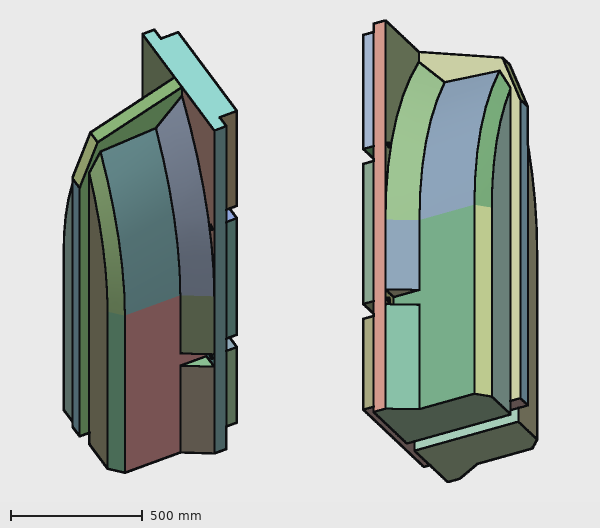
import cadquery as cq
import math

height = 1719.0
plate_half_width = 294.8
rib_half_width = 240.0
rib_depth = 74.0
plate_depth = 125.0
flare_depth = 237.0
bevel_depth = 475.0
body_depth = 522.0
fin_depth = 564.0

waist_half_width = 230.0
front_half_width = 180.0
fin_width = 60.0
foot_height = 60.0
fin_shoulder_depth = 486.0
fin_shoulder_z = 1590.0
fin_nose_z = 1382.0

arch_start_z = 835.0
body_sections = [
    (plate_depth, plate_half_width, 1674.0),
    (flare_depth, waist_half_width, 1552.0),
    (bevel_depth, waist_half_width, 1535.0),
    (body_depth, front_half_width, 1444.0),
]

groove_height = 65.0
lower_groove_z = 495.0
upper_groove_z = 1180.0
hole_diameter = 20.0
hole_x = 268.0


def block(width, back_depth, front_depth, bottom, top):
    """Box centred on X between two depths and two heights."""
    return cq.Workplane("XY").box(
        width, front_depth - back_depth, top - bottom, centered=(True, False, False)
    ).translate((0, -front_depth, bottom))


def arch_wire(depth, half_width, arch_top):
    """Upright outline with side arcs tangent to its straight flanks."""
    half_fin = fin_width / 2
    rise = arch_top - arch_start_z
    inset = half_width - half_fin
    radius = (rise**2 + inset**2) / (2 * inset)
    half_angle = math.asin(rise / radius) / 2
    middle_x = half_width - radius * (1 - math.cos(half_angle))
    middle_z = arch_start_z + radius * math.sin(half_angle)
    outline = (
        cq.Workplane("XZ", origin=(0, -depth, 0))
        .moveTo(-half_width, 0)
        .lineTo(half_width, 0)
        .lineTo(half_width, arch_start_z)
        .threePointArc((middle_x, middle_z), (half_fin, arch_top))
        .lineTo(-half_fin, arch_top)
        .threePointArc((-middle_x, middle_z), (-half_width, arch_start_z))
        .close()
    )
    return outline.val()


def make_body():
    """Arched body with flat-ruled bands between neighbouring outlines."""
    wires = [arch_wire(*section) for section in body_sections]
    return cq.Workplane(cq.Solid.makeLoft(wires, True))


def make_fin():
    """Central fin with a two-slope nose."""
    return (
        cq.Workplane("YZ")
        .moveTo(-plate_depth, foot_height)
        .lineTo(-plate_depth, height)
        .lineTo(-fin_shoulder_depth, fin_shoulder_z)
        .lineTo(-fin_depth, fin_nose_z)
        .lineTo(-fin_depth, foot_height)
        .close()
        .extrude(fin_width / 2, both=True)
    )


plate_width = 2 * plate_half_width
rib = block(2 * rib_half_width, 0, rib_depth, foot_height, height)
plate = block(plate_width, rib_depth, plate_depth, 0, height)
result = plate.union(rib).union(make_body()).union(make_fin())

result = result.cut(block(fin_width, 0, fin_depth, 0, foot_height))

for level in (lower_groove_z, upper_groove_z):
    bottom = level - groove_height / 2
    result = result.cut(block(plate_width, 0, rib_depth, bottom, bottom + groove_height))

pocket_bottom = lower_groove_z - groove_height / 2
pocket_top = pocket_bottom + groove_height
pockets = block(plate_width, plate_depth, flare_depth, pocket_bottom, pocket_top).cut(
    block(2 * waist_half_width, plate_depth, flare_depth, pocket_bottom, pocket_top)
)
result = result.cut(pockets)

hole_centers = [(side * hole_x, level) for side in (-1, 1) for level in (lower_groove_z, upper_groove_z)]
holes = (
    cq.Workplane("XZ")
    .pushPoints(hole_centers)
    .circle(hole_diameter / 2)
    .extrude(plate_depth)
)
result = result.cut(holes)